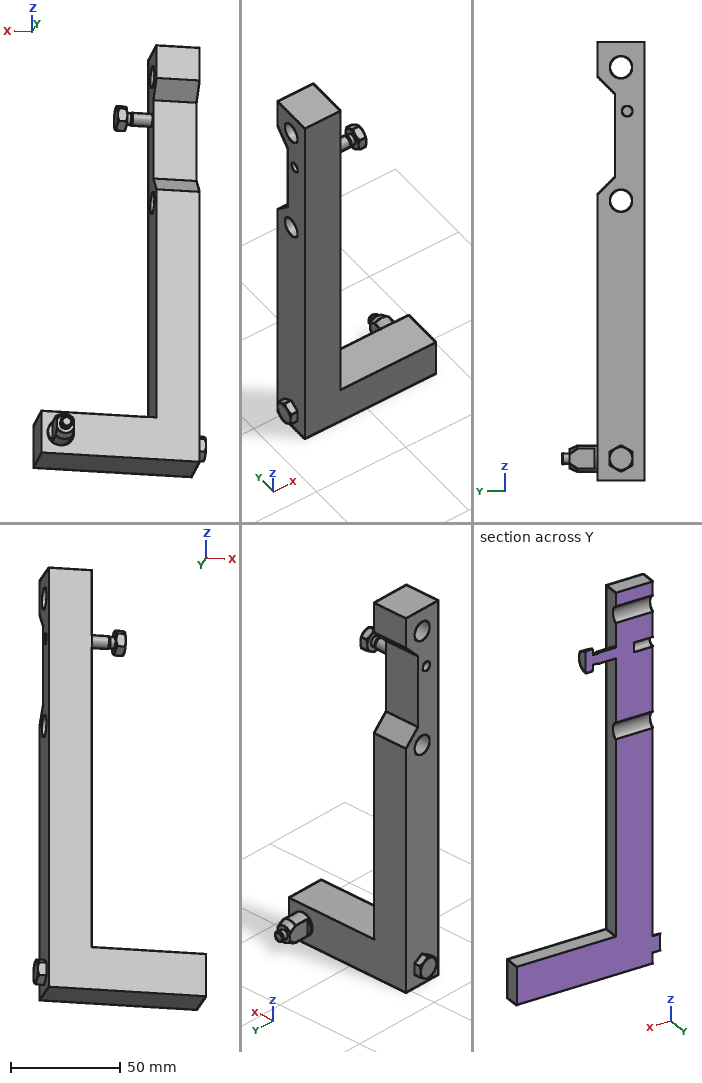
import cadquery as cq

height = 201.0
length = 73.5
depth = 21.7
column_width = 20.0
foot_height = 20.3

relief_depth = 8.0
relief_bottom = 131.0
relief_top = 185.1

mount_diameter = 10.0
mount_y = depth / 2
mount_heights = (128.2, 189.3)

hex_corners = 12.0
hex_chamfer_diameter = 10.5
hex_chamfer = 0.6

foot_screw_y = depth / 2
foot_screw_z = foot_height / 2
foot_head_thickness = 4.0

screw_y = 8.0
screw_z = 169.2
screw_diameter = 6.0
screw_taper = 0.8
screw_neck_diameter = 5.5
screw_shank_length = 9.8
screw_neck_end = 12.0
screw_end = 16.5
screw_bore_diameter = 4.8
screw_bore_depth = column_width / 2

pin_x = 64.7
pin_z = 10.0
pin_diameter = 12.0
pin_flat_width = 7.8
pin_flat_start = 1.2
pin_cone_start = 9.0
pin_cone_end = 12.7
pin_cone_end_diameter = 8.8
pin_neck_diameter = 4.8
pin_tip_start = 15.7
pin_tip_diameter = 5.5
pin_tip_end_diameter = 4.2
pin_end = 16.3


def x_plane(x, y, z):
    """Plane facing +X, with local X along +Y and local Y along +Z."""
    return cq.Plane(origin=(x, y, z), xDir=(0, 1, 0), normal=(1, 0, 0))


def make_bracket():
    column = cq.Workplane("XY").box(column_width, depth, height, centered=False)
    foot = cq.Workplane("XY").box(length, depth, foot_height, centered=False)
    relief_floor = depth - relief_depth
    relief = (
        cq.Workplane(x_plane(0, 0, 0))
        .polyline([
            (depth, relief_bottom),
            (relief_floor, relief_bottom + relief_depth),
            (relief_floor, relief_top - relief_depth),
            (depth, relief_top),
        ])
        .close()
        .extrude(column_width)
    )
    mount_holes = (
        cq.Workplane(x_plane(0, mount_y, 0))
        .pushPoints([(0, z) for z in mount_heights])
        .circle(mount_diameter / 2)
        .extrude(column_width)
    )
    screw_bore = (
        cq.Workplane(x_plane(0, screw_y, screw_z))
        .circle(screw_bore_diameter / 2)
        .extrude(screw_bore_depth)
    )
    return column.union(foot).cut(relief).cut(mount_holes).cut(screw_bore)


def hex_head(x_start, y, z, thickness, chamfer_start, chamfer_end):
    """Hexagonal head along X, corners up and down, with optional conical end chamfers."""
    prism = (
        cq.Workplane(x_plane(x_start, y, z))
        .polygon(6, hex_corners)
        .extrude(thickness)
        .rotate((x_start, y, z), (x_start + 2, y, z), 90)
    )
    outer = hex_corners / 2
    inner = hex_chamfer_diameter / 2
    start_radius = inner if chamfer_start else outer
    end_radius = inner if chamfer_end else outer
    envelope = (
        cq.Workplane("XY")
        .polyline([
            (0, 0),
            (0, start_radius),
            (hex_chamfer, outer),
            (thickness - hex_chamfer, outer),
            (thickness, end_radius),
            (thickness, 0),
        ])
        .close()
        .revolve(360, (0, 0, 0), (1, 0, 0))
        .translate((x_start, y, z))
    )
    return prism.intersect(envelope)


def make_adjusting_screw():
    radius = screw_diameter / 2
    neck_radius = screw_neck_diameter / 2
    shank = (
        cq.Workplane("XY")
        .polyline([
            (0, 0),
            (0, radius),
            (screw_shank_length - screw_taper, radius),
            (screw_shank_length, neck_radius),
            (screw_neck_end, neck_radius),
            (screw_neck_end, 0),
        ])
        .close()
        .revolve(360, (0, 0, 0), (1, 0, 0))
        .translate((column_width, screw_y, screw_z))
    )
    head_thickness = screw_end - screw_neck_end
    head = hex_head(column_width + screw_neck_end, screw_y, screw_z, head_thickness, True, True)
    return shank.union(head)


def make_pin():
    pin = (
        cq.Workplane("XY")
        .polyline([
            (0, 0),
            (pin_diameter / 2, 0),
            (pin_diameter / 2, pin_cone_start),
            (pin_cone_end_diameter / 2, pin_cone_end),
            (pin_neck_diameter / 2, pin_cone_end),
            (pin_neck_diameter / 2, pin_tip_start),
            (pin_tip_diameter / 2, pin_tip_start),
            (pin_tip_end_diameter / 2, pin_end),
            (0, pin_end),
        ])
        .close()
        .revolve(360, (0, 0, 0), (0, 1, 0))
    )
    collar = cq.Workplane("XY").box(pin_diameter, pin_flat_start, pin_diameter, centered=(True, False, True))
    blade = cq.Workplane("XY").box(pin_flat_width, pin_end, pin_diameter, centered=(True, False, True))
    return pin.intersect(collar.union(blade)).translate((pin_x, depth, pin_z))


foot_screw_head = hex_head(
    -foot_head_thickness, foot_screw_y, foot_screw_z, foot_head_thickness, True, False
)
result = make_bracket().union(foot_screw_head).union(make_adjusting_screw()).union(make_pin())